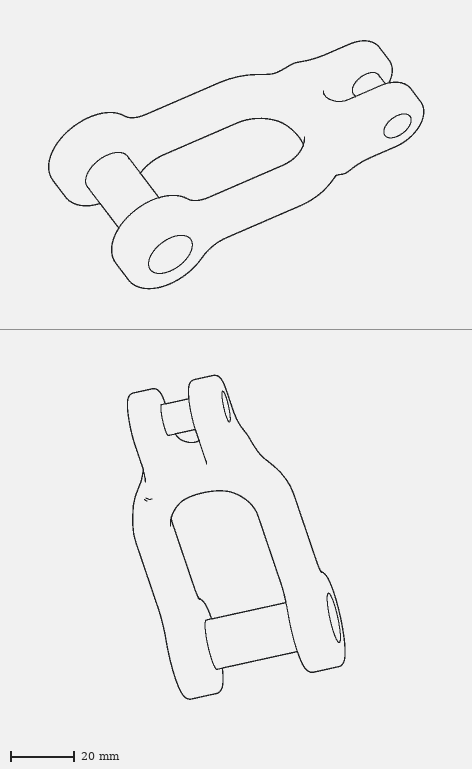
import cadquery as cq
import math


total_length = 114.9
total_width = 52.0
arm_width = 12.0
arm_height = 10.0
edge_radius = 2.0

eye_diameter = 30.9
eye_pin_diameter = 16.0
eye_blend_radius = 10.0

fork_width = 30.0
fork_height = 22.0
fork_slot_width = 10.0
fork_slot_depth = 28.0
fork_pin_diameter = 10.0
fork_pin_setback = 10.5

slope_start_setback = 31.0
slope_end_setback = 37.6
slope_blend_radius = 4.9

opening_center_setback = 52.0

half_width = total_width / 2
half_fork_width = fork_width / 2
half_fork_height = fork_height / 2
half_arm_height = arm_height / 2
eye_radius = eye_diameter / 2
tail_y = -eye_radius
tip_y = tail_y + total_length
fork_pin_y = tip_y - fork_pin_setback
opening_center_y = tip_y - opening_center_setback
opening_width = total_width - 2 * arm_width

overrun = 5.7
plan_tail_y = tail_y - overrun
plan_tip_y = tip_y + overrun
plan_half_height = eye_radius + overrun


def polar(center, radius, angle):
    """Point at an angle in radians on a circle."""
    return (center[0] + radius * math.cos(angle), center[1] + radius * math.sin(angle))


def plan_blank():
    """Outside outline in plan, with S-shaped shoulders, taller than the eyes."""
    shoulder_radius = half_width
    neck_center_x = half_fork_width + shoulder_radius
    neck_rise = math.sqrt((2 * shoulder_radius) ** 2 - neck_center_x**2)
    neck_center = (neck_center_x, opening_center_y + neck_rise)
    shoulder_center = (0, opening_center_y)
    meet_angle = math.atan2(neck_rise, neck_center_x)

    meet = polar(shoulder_center, shoulder_radius, meet_angle)
    shoulder_mid = polar(shoulder_center, shoulder_radius, meet_angle / 2)
    neck_mid = polar(neck_center, shoulder_radius, math.pi + meet_angle / 2)

    half_blank = (
        cq.Workplane("XY")
        .moveTo(0, plan_tail_y)
        .lineTo(half_width, plan_tail_y)
        .lineTo(half_width, opening_center_y)
        .threePointArc(shoulder_mid, meet)
        .threePointArc(neck_mid, (half_fork_width, neck_center[1]))
        .lineTo(half_fork_width, plan_tip_y)
        .lineTo(0, plan_tip_y)
        .close()
        .extrude(plan_half_height, both=True)
    )
    return half_blank.union(half_blank.mirror("YZ"))


def round_ended_slot(width, arc_center_y, open_end_y):
    """Cutter for a slot with a half-round closed end and a square open end."""
    straight_length = abs(open_end_y - arc_center_y)
    straight = (
        cq.Workplane("XY")
        .center(0, (arc_center_y + open_end_y) / 2)
        .rect(width, straight_length)
        .extrude(plan_half_height, both=True)
    )
    round_end = (
        cq.Workplane("XY")
        .center(0, arc_center_y)
        .circle(width / 2)
        .extrude(plan_half_height, both=True)
    )
    return straight.union(round_end)


def side_profile():
    """Side outline: round eye, thin arm, slope and round-ended fork, across the full width."""
    blend_center_z = half_arm_height + eye_blend_radius
    center_distance = eye_radius + eye_blend_radius
    blend_center_y = math.sqrt(center_distance**2 - blend_center_z**2)
    blend_center = (blend_center_y, blend_center_z)
    eye_angle = math.atan2(blend_center_z, blend_center_y)
    eye_point = polar((0, 0), eye_radius, eye_angle)
    blend_mid_angle = (math.pi + eye_angle + 1.5 * math.pi) / 2
    blend_mid = polar(blend_center, eye_blend_radius, blend_mid_angle)

    slope_start_y = tip_y - slope_start_setback
    slope_end_y = tip_y - slope_end_setback
    tip_center_y = tip_y - half_fork_height

    profile = (
        cq.Workplane("YZ", origin=(-half_width, 0, 0))
        .moveTo(eye_point[0], -eye_point[1])
        .threePointArc((tail_y, 0), eye_point)
        .threePointArc(blend_mid, (blend_center_y, half_arm_height))
        .lineTo(slope_end_y, half_arm_height)
        .lineTo(slope_start_y, half_fork_height)
        .lineTo(tip_center_y, half_fork_height)
        .threePointArc((tip_y, 0), (tip_center_y, -half_fork_height))
        .lineTo(slope_start_y, -half_fork_height)
        .lineTo(slope_end_y, -half_arm_height)
        .lineTo(blend_center_y, -half_arm_height)
        .threePointArc((blend_mid[0], -blend_mid[1]), (eye_point[0], -eye_point[1]))
        .close()
        .extrude(total_width)
    )

    corners = cq.selectors.BoxSelector(
        (-total_width, slope_end_y - edge_radius, -eye_diameter),
        (total_width, slope_start_y + edge_radius, eye_diameter),
    )
    return profile.edges("|X").edges(corners).fillet(slope_blend_radius)


def cross_pin(diameter, length, axis_y):
    """Cylinder along X, centered on the middle plane."""
    return (
        cq.Workplane("YZ", origin=(-length / 2, axis_y, 0))
        .circle(diameter / 2)
        .extrude(length)
    )


def clevis_link():
    """Double fork with rounded edges and the two pin holes."""
    fork_slot_center_y = tip_y - fork_slot_depth + fork_slot_width / 2
    link = (
        plan_blank()
        .cut(round_ended_slot(opening_width, opening_center_y, plan_tail_y))
        .cut(round_ended_slot(fork_slot_width, fork_slot_center_y, plan_tip_y))
        .intersect(side_profile())
    )
    link = link.edges("not (|X or |Z)").fillet(edge_radius)
    return link.cut(eye_pin).cut(fork_pin)


eye_pin = cross_pin(eye_pin_diameter, total_width, 0)
fork_pin = cross_pin(fork_pin_diameter, fork_width, fork_pin_y)
link = clevis_link()

result = cq.Compound.makeCompound([link.val(), eye_pin.val(), fork_pin.val()])